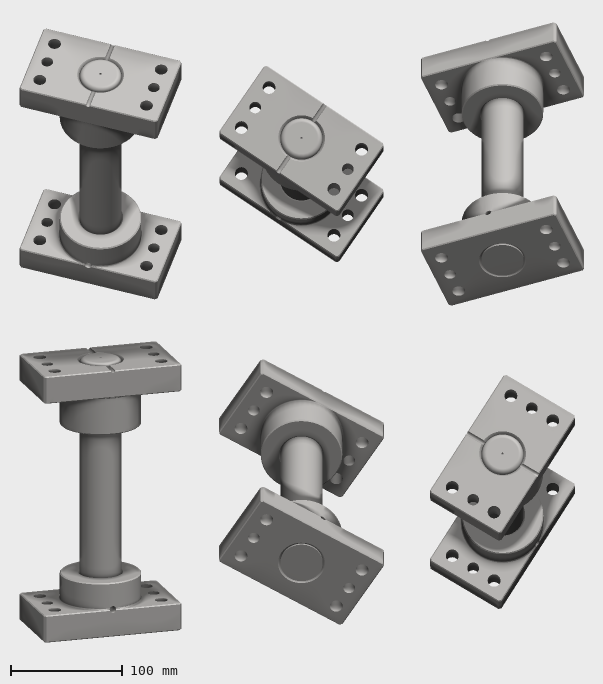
import cadquery as cq
import math

total_height = 250.0
plate_length = 129.2
plate_width = 75.0
plate_thickness = 25.2
shaft_proud = 1.2

shaft_radius = 19.0
shaft_end_round = 4.5
center_hole_radius = 1.0
center_hole_depth = 2.5

collar_radius = 36.5
lower_collar_height = 24.8
upper_collar_height = 34.8
collar_root_fillet = 1.0

plate_face_chamfer = 0.88
plate_corner_chamfer = 2.0
collar_chamfer = 1.0
plate_bore_chamfer = 2.0
collar_bore_chamfer = 1.2

hole_offset_x = 50.0
hole_offset_y = 22.0
outer_hole_radius = 5.8
middle_hole_radius = 5.2

cross_hole_radius = 3.0
groove_radius = 2.0

upper_plate_top = total_height - shaft_proud


def make_plate():
    """Rectangular plate with its bottom at Z = 0 and all edges chamfered."""
    return (
        cq.Workplane("XY")
        .box(plate_length, plate_width, plate_thickness, centered=(True, True, False))
        .edges("|Z")
        .chamfer(plate_corner_chamfer)
        .faces("<Z or >Z")
        .edges()
        .chamfer(plate_face_chamfer)
    )


def make_collar(height):
    """Round collar that stands on the plate, with its free edge chamfered."""
    return (
        cq.Workplane("XY")
        .workplane(offset=plate_thickness)
        .circle(collar_radius)
        .extrude(height)
        .faces(">Z")
        .edges()
        .chamfer(collar_chamfer)
    )


def make_collar_root():
    """Concave fillet ring around the collar foot, trimmed to the flat top of the plate."""
    fillet_edge_radius = collar_radius + collar_root_fillet
    arc_offset = collar_root_fillet * (1 - math.sqrt(0.5))
    ring = (
        cq.Workplane("XZ")
        .moveTo(shaft_radius, plate_thickness)
        .lineTo(fillet_edge_radius, plate_thickness)
        .threePointArc(
            (collar_radius + arc_offset, plate_thickness + arc_offset),
            (collar_radius, plate_thickness + collar_root_fillet),
        )
        .lineTo(shaft_radius, plate_thickness + collar_root_fillet)
        .close()
        .revolve(360, (0, 0, 0), (0, 1, 0))
    )
    plate_flat = cq.Workplane("XY").box(
        plate_length, plate_width - 2 * plate_face_chamfer, 3 * plate_thickness
    )
    return ring.intersect(plate_flat)


def make_flange(collar_height):
    """Plate with a collar on top, drilled for the screws and bored for the shaft."""
    flange = make_plate().union(make_collar(collar_height)).union(make_collar_root())
    return bore_flange(drill_mounting_holes(flange), plate_thickness + collar_height)


def drill_mounting_holes(flange):
    """Three through holes near each short side, the middle one smaller."""
    for x in (-hole_offset_x, hole_offset_x):
        for y, radius in (
            (-hole_offset_y, outer_hole_radius),
            (0, middle_hole_radius),
            (hole_offset_y, outer_hole_radius),
        ):
            hole = cq.Workplane("XY").center(x, y).circle(radius).extrude(plate_thickness)
            flange = flange.cut(hole)
    return flange


def bore_flange(flange, height):
    """Through bore for the shaft, chamfered at both mouths."""
    bore = cq.Workplane("XY").circle(shaft_radius).extrude(height)
    flange = flange.cut(bore)
    plate_mouth = cq.Solid.makeCone(
        shaft_radius + plate_bore_chamfer, shaft_radius, plate_bore_chamfer
    )
    collar_mouth = cq.Solid.makeCone(
        shaft_radius,
        shaft_radius + collar_bore_chamfer,
        collar_bore_chamfer,
        pnt=cq.Vector(0, 0, height - collar_bore_chamfer),
    )
    return flange.cut(cq.Workplane(plate_mouth)).cut(cq.Workplane(collar_mouth))


def cross_cylinder(radius, z):
    """Cylinder along Y over the whole plate width, centred at height z."""
    return cq.Workplane("XZ").center(0, z).circle(radius).extrude(plate_width / 2, both=True)


def make_lower_flange():
    """Lower flange, collar up, with a cross hole where the collar meets the plate."""
    return make_flange(lower_collar_height).cut(cross_cylinder(cross_hole_radius, plate_thickness))


def make_upper_flange():
    """Upper flange, collar down, with a groove across the top of its plate."""
    flange = (
        make_flange(upper_collar_height)
        .rotate((0, 0, 0), (1, 0, 0), 180)
        .translate((0, 0, upper_plate_top))
    )
    return flange.cut(cross_cylinder(groove_radius, upper_plate_top))


def make_shaft():
    """Round shaft through both flanges, with a rounded top end and a small center hole."""
    shaft = (
        cq.Workplane("XY")
        .circle(shaft_radius)
        .extrude(total_height)
        .faces(">Z")
        .edges()
        .fillet(shaft_end_round)
    )
    center_hole = (
        cq.Workplane("XY")
        .workplane(offset=total_height - center_hole_depth)
        .circle(center_hole_radius)
        .extrude(center_hole_depth)
    )
    return shaft.cut(center_hole)


lower_flange = make_lower_flange()
upper_flange = make_upper_flange()
shaft = make_shaft()

result = cq.Compound.makeCompound([lower_flange.val(), upper_flange.val(), shaft.val()])